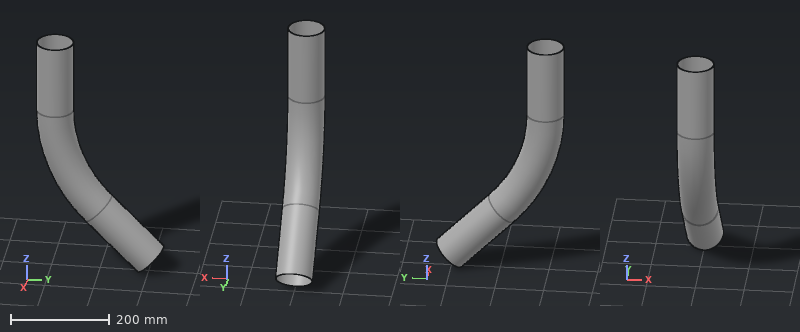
import cadquery as cq
import math

total_height = 502.5
outer_diameter = 76.5
inner_diameter = 73.0
bend_angle = 45.0
bend_radius = 306.5
lower_length = 151.5

bend_sin = math.sin(math.radians(bend_angle))
bend_cos = math.cos(math.radians(bend_angle))
end_rim_drop = outer_diameter / 2 * bend_sin
upper_length = total_height - bend_radius * bend_sin - lower_length * bend_cos - end_rim_drop


def bend_point(angle):
    """Centreline point (Y, Z) at an angle from the start of the bend."""
    turn = math.radians(angle)
    return (
        bend_radius * (1 - math.cos(turn)),
        -upper_length - bend_radius * math.sin(turn),
    )


bend_end = bend_point(bend_angle)
lower_end = (bend_end[0] + lower_length * bend_sin, bend_end[1] - lower_length * bend_cos)
centreline = (
    cq.Workplane("YZ")
    .lineTo(0, -upper_length)
    .threePointArc(bend_point(bend_angle / 2), bend_end)
    .lineTo(*lower_end)
)

result = (
    cq.Workplane("XY")
    .circle(outer_diameter / 2)
    .circle(inner_diameter / 2)
    .sweep(centreline)
)